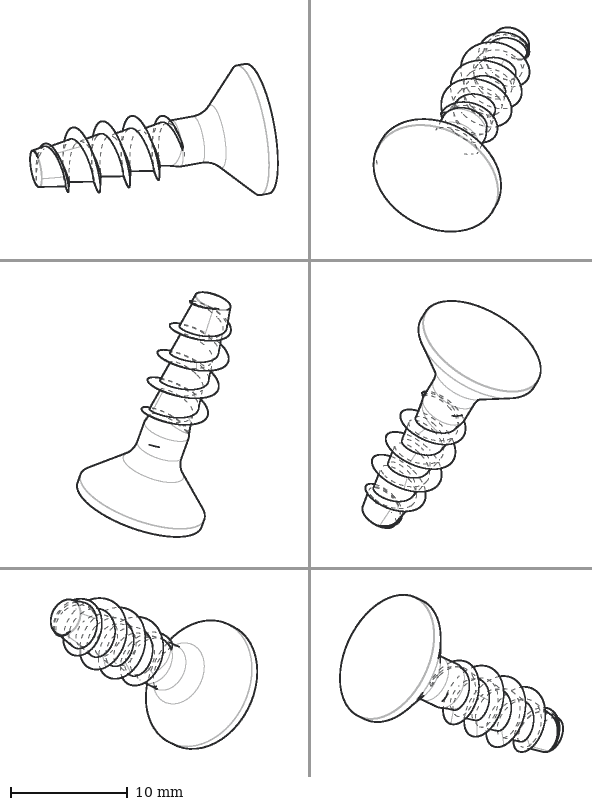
import cadquery as cq
import math


total_length = 20.0
head_radius = 5.65
rim_height = 0.85
rim_round = 0.06

neck_radius = 2.03
neck_round = 2.4
thread_start = 7.4

lead_slope = 0.27
core_radius = 1.58

tip_radius = 1.6
tip_round = 0.06
dish_depth = 0.08

pitch = 2.68
first_crest_depth = 7.2
crest_radius = 3.0
flank_slope = 0.31
thread_foot = 1.3
run_in_end = 10.7
run_in_factor = 0.111
run_in_power = 1.5
run_out_start = 15.95
run_out_slope = 0.35
thread_begin = 6.9
thread_finish = 19.75

root_radius = 2.03
root_slope = 0.16
root_begin = 4.0
root_finish = total_length + 0.5
root_foot = 1.4
root_length = 2.65

points_per_turn = 24


def crest_radius_at(depth):
    """Crest radius, eased in behind the neck and tapered off at the tip."""
    run_in_left = max(0.0, run_in_end - depth)
    run_out_done = max(0.0, depth - run_out_start)
    return crest_radius - run_in_factor * run_in_left ** run_in_power - run_out_slope * run_out_done


def thread_section(depth):
    """Sharp V of the thread as (axial offset, radius) corners."""
    crest = crest_radius_at(depth)
    half_width = flank_slope * (crest - thread_foot)
    return [(-half_width, thread_foot), (0, crest), (half_width, thread_foot)]


def root_section(_depth):
    """Wedge of one turn of the root, highest behind the crest and falling to the core."""
    low_radius = root_radius - root_slope * root_length
    return [(0, root_foot), (0, root_radius), (root_length, low_radius), (root_length, root_foot)]


def helix_point(depth, offset, radius):
    """Point on the helix whose crest is at this depth, shifted along the axis by the offset."""
    angle = 2 * math.pi * (depth - first_crest_depth) / pitch
    return cq.Vector(radius * math.cos(angle), -(depth + offset), radius * math.sin(angle))


def helical_solid(section, begin, finish):
    """Carry a section along the right-hand helix, about one turn per face, and cap both ends flat."""
    turns = math.ceil((finish - begin) / pitch)
    step = (finish - begin) / (turns * points_per_turn)
    faces = []
    for turn in range(turns):
        first = turn * points_per_turn
        depths = [begin + step * (first + point) for point in range(points_per_turn + 1)]
        tracks = zip(*[section(depth) for depth in depths])
        rails = [[helix_point(depth, *corner) for depth, corner in zip(depths, track)] for track in tracks]
        edges = [cq.Edge.makeSpline(rail, parameters=depths) for rail in rails]
        next_edges = edges[1:] + edges[:1]
        faces += [cq.Face.makeRuledSurface(edge, following) for edge, following in zip(edges, next_edges)]
    for depth in (begin, finish):
        corners = [helix_point(depth, *corner) for corner in section(depth)]
        faces.append(cq.Face.makeFromWires(cq.Wire.makePolygon(corners, close=True)))
    return cq.Workplane(cq.Solid.makeSolid(cq.Shell.makeShell(faces)).fix())


def revolve(profile):
    """Close a radius-height profile and turn it about the Y axis."""
    return profile.close().revolve(360, (0, 0, 0), (0, 1, 0))


def make_body():
    """Head, neck and lead taper as one turned shape."""
    cone_angle = math.pi / 4
    mid_angle = cone_angle / 2
    round_top_radius = neck_radius + neck_round * (1 - math.cos(cone_angle))
    round_top_depth = rim_height + (head_radius - round_top_radius) / math.tan(cone_angle)
    round_bottom_depth = round_top_depth + neck_round * math.sin(cone_angle)
    round_mid = (neck_radius + neck_round * (1 - math.cos(mid_angle)),
                 -(round_bottom_depth - neck_round * math.sin(mid_angle)))
    lead_end = thread_start + (neck_radius - core_radius) / lead_slope
    body = revolve(
        cq.Workplane("XY")
        .lineTo(head_radius, 0)
        .lineTo(head_radius, -rim_height)
        .lineTo(round_top_radius, -round_top_depth)
        .threePointArc(round_mid, (neck_radius, -round_bottom_depth))
        .lineTo(neck_radius, -thread_start)
        .lineTo(core_radius, -lead_end)
        .lineTo(0, -lead_end)
    )
    rim_edges = cq.selectors.RadiusNthSelector(-1)
    return body.edges("%CIRCLE").edges(rim_edges).fillet(rim_round)


def make_thread():
    """Thread without the part that would rise onto the neck."""
    neck_side = cq.Workplane("XZ").circle(head_radius).extrude(thread_start)
    return helical_solid(thread_section, thread_begin, thread_finish).cut(neck_side)


def make_shank():
    """Core and relieved root, trimmed to the rounded cone and shallow dish of the tip."""
    core = cq.Workplane("XZ", origin=(0, -root_begin, 0)).circle(core_radius).extrude(root_finish - root_begin)
    root = helical_solid(root_section, root_begin, root_finish)
    top_radius = tip_radius + root_slope * total_length
    dish_rim = tip_radius - tip_round
    edge_depth = total_length - tip_round
    edge_offset = tip_round * math.sqrt(0.5)
    edge_mid = (dish_rim + edge_offset, -edge_depth - edge_offset)
    dish_sphere = (dish_rim ** 2 + dish_depth ** 2) / (2 * dish_depth)
    mid_drop = dish_sphere - math.sqrt(dish_sphere ** 2 - (dish_rim / 2) ** 2)
    dish_mid = (dish_rim / 2, -total_length + dish_depth - mid_drop)
    envelope = revolve(
        cq.Workplane("XY")
        .lineTo(top_radius, 0)
        .lineTo(tip_radius, -edge_depth)
        .threePointArc(edge_mid, (dish_rim, -total_length))
        .threePointArc(dish_mid, (0, -total_length + dish_depth))
    )
    return core.union(root).intersect(envelope)


result = make_body().union(make_shank().union(make_thread()))